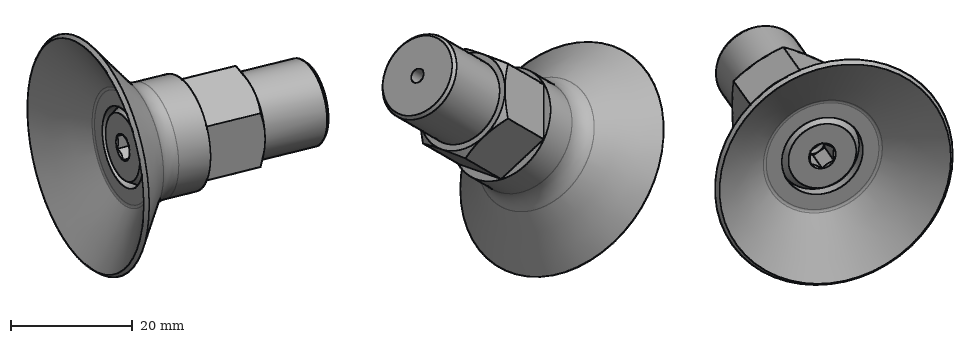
import cadquery as cq
import math


total_length = 41.8
rim_height = 0.7
collar_start = 12.0
hex_start = 18.0
stem_start = 29.0

rim_radius = 20.55
mouth_radius = 20.0
collar_radius = 20.0 / 2
neck_arc_radius = 5.0
floor_depth = 7.0
floor_radius = 9.75
floor_blend_radius = 1.0
floor_blend_width = 0.55

hex_across_flats = 17.2
hex_corner_diameter = hex_across_flats / math.cos(math.pi / 6)
hex_chamfer_height = 0.85
hex_top_radius = hex_across_flats / 2
stem_radius = 15.0 / 2
stem_end_radius = 14.0 / 2
stem_chamfer_length = 0.6

groove_outer_radius = 14.0 / 2
groove_inner_radius = 11.7 / 2
groove_depth = 2.0

socket_across_flats = 4.0
socket_corner_diameter = socket_across_flats / math.cos(math.pi / 6)
socket_depth = 5.0
drill_tip_half_angle = math.radians(59)
hole_radius = 2.5 / 2


def revolve_about_y(profile):
    """Close a (radius, y) profile and revolve it about the Y axis."""
    return profile.close().revolve(360, (0, 0, 0), (0, 1, 0))


def hex_prism(corner_diameter, start, length):
    """Hexagonal prism along +Y with two flats facing +X and -X."""
    return (
        cq.Workplane("XZ", origin=(0, start, 0))
        .transformed(rotate=(0, 0, 30))
        .polygon(6, corner_diameter)
        .extrude(-length)
    )


def make_cup():
    arc_center_radius = collar_radius + neck_arc_radius
    to_rim_radius = rim_radius - arc_center_radius
    to_rim_y = rim_height - collar_start
    to_rim = math.hypot(to_rim_radius, to_rim_y)
    tangent_angle = math.atan2(to_rim_y, to_rim_radius) - math.acos(neck_arc_radius / to_rim)

    def neck_point(angle):
        return (
            arc_center_radius + neck_arc_radius * math.cos(angle),
            collar_start + neck_arc_radius * math.sin(angle),
        )

    cone_end = neck_point(tangent_angle)
    arc_middle = neck_point((tangent_angle - math.pi) / 2)

    blend_angle = math.asin(floor_blend_width / floor_blend_radius)
    blend_center_y = floor_depth - floor_blend_radius

    def blend_point(angle):
        return (
            floor_radius + floor_blend_radius * math.sin(angle),
            blend_center_y + floor_blend_radius * math.cos(angle),
        )

    return revolve_about_y(
        cq.Workplane("XY")
        .moveTo(0, floor_depth)
        .lineTo(floor_radius, floor_depth)
        .threePointArc(blend_point(blend_angle / 2), blend_point(blend_angle))
        .lineTo(mouth_radius, 0)
        .lineTo(rim_radius, rim_height)
        .lineTo(*cone_end)
        .threePointArc(arc_middle, (collar_radius, collar_start))
        .lineTo(collar_radius, hex_start)
        .lineTo(0, hex_start)
    )


def make_hexagon():
    prism = hex_prism(hex_corner_diameter, hex_start, stem_start - hex_start)
    envelope = revolve_about_y(
        cq.Workplane("XY")
        .moveTo(0, hex_start)
        .lineTo(hex_corner_diameter / 2, hex_start)
        .lineTo(hex_corner_diameter / 2, stem_start - hex_chamfer_height)
        .lineTo(hex_top_radius, stem_start)
        .lineTo(0, stem_start)
    )
    return prism.intersect(envelope)


def make_stem():
    return revolve_about_y(
        cq.Workplane("XY")
        .moveTo(0, stem_start)
        .lineTo(stem_radius, stem_start)
        .lineTo(stem_radius, total_length - stem_chamfer_length)
        .lineTo(stem_end_radius, total_length)
        .lineTo(0, total_length)
    )


def make_groove():
    return revolve_about_y(
        cq.Workplane("XY")
        .moveTo(groove_inner_radius, floor_depth)
        .lineTo(groove_outer_radius, floor_depth)
        .lineTo(groove_outer_radius, floor_depth + groove_depth)
    )


def make_bore():
    socket_end = floor_depth + socket_depth
    flat_radius = socket_across_flats / 2
    mouth_bevel_radius = socket_corner_diameter / 2
    tip_length = (flat_radius - hole_radius) / math.tan(drill_tip_half_angle)
    socket = hex_prism(socket_corner_diameter, floor_depth, socket_depth)
    round_bore = revolve_about_y(
        cq.Workplane("XY")
        .moveTo(0, floor_depth)
        .lineTo(mouth_bevel_radius, floor_depth)
        .lineTo(flat_radius, floor_depth + mouth_bevel_radius - flat_radius)
        .lineTo(flat_radius, socket_end)
        .lineTo(hole_radius, socket_end + tip_length)
        .lineTo(hole_radius, total_length)
        .lineTo(0, total_length)
    )
    return socket.union(round_bore)


body = make_cup().union(make_hexagon()).union(make_stem())
result = body.cut(make_groove()).cut(make_bore())